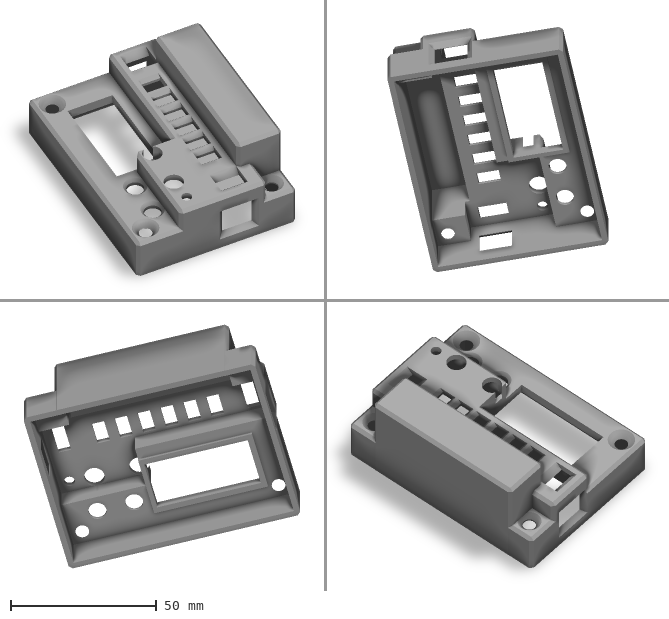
import cadquery as cq

LENGTH = 82.27
WIDTH = 61.35
BLOCK_TOP = 33.7
SHOULDER_TOP = 23.3
BASE_TOP = 15.15
WALL = 2.0
ROOF = 2.4
EDGE_CHAMFER = 1.2

X_MAX = LENGTH / 2
X_MIN = -X_MAX
Y_MIN = -WIDTH / 2
BLOCK_BACK = WIDTH / 2
OVERCUT = 1.0

BLOCK_X_MIN = -31.7
BLOCK_X_MAX = 30.3
BLOCK_FRONT = 13.45
BLOCK_OVERHANG = 0.05
Y_MAX = BLOCK_BACK - BLOCK_OVERHANG

SHOULDER_BACK = 19.2
SHOULDER_FRONT = 0.2
STEP_X = 7.4
STEP_FRONT = -14.2
STEP_WALL = 1.6

DISPLAY_LENGTH = 36.8
DISPLAY_BACK = -3.95
DISPLAY_FRONT = -21.3
COLLAR_HEIGHT = 3.6
DISPLAY_RELIEF = 0.03

PORT_BACK = 16.1
PORT_FRONT = 1.0
PORT_BOTTOM = 3.95
PORT_TOP = 17.0
PORT_FLARE = 1.8

SLOT_FRONT = 3.25
TERMINAL_SLOT_X = 33.55
TERMINAL_SLOT_WIDTH = 9.1
TERMINAL_SLOT_FLARE = 2.4
FUSE_SLOT_BACK = 11.1
FUSE_SLOT_WIDTH = 7.0
FUSE_SLOT_FLARE = 1.3
FUSE_SLOT_COUNT = 6
FUSE_SLOT_PITCH = 8.12
FUSE_SLOT_CENTRE = -0.5

SCREW_X = 34.85
SCREW_Y = 24.35
SCREW_DIAMETER = 4.7
SCREW_HEAD_BACK = 8.3
SCREW_HEAD_FRONT = 9.4
BUTTON_CENTRES = [(14.7, -17.95), (27.75, -17.95)]
BUTTON_DIAMETER = 6.2
BUTTON_RIM = 8.4
LAMP_CENTRES = [(10.45, -9.15), (26.45, -9.15)]
LAMP_DIAMETER = 7.0
LAMP_DEPTH = 6.0
PILOT_CENTRE = (35.2, -8.65)
PILOT_DIAMETER = 3.7


def box(x_min, x_max, y_min, y_max, z_min, z_max):
    """Box between two opposite corners."""
    size = (x_max - x_min, y_max - y_min, z_max - z_min)
    return cq.Workplane("XY").box(*size, centered=False).translate((x_min, y_min, z_min))


def chamfered_box(x_min, x_max, y_min, y_max, height, edges="|Z or >Z"):
    """Box standing on Z = 0 with the selected edges chamfered."""
    return box(x_min, x_max, y_min, y_max, 0, height).edges(edges).chamfer(EDGE_CHAMFER)


def hollow(x_min, x_max, y_min, y_max, height, near_wall=WALL):
    """Cavity inside a box of the given outer size; near_wall is the -X and -Y wall thickness."""
    x_start = x_min + near_wall
    y_start = y_min + near_wall
    return box(x_start, x_max - WALL, y_start, y_max - WALL, -OVERCUT, height - ROOF)


def cylinder(centre, diameter, z_min, z_max):
    """Upright cylinder."""
    plane = cq.Workplane("XY").workplane(offset=z_min).center(*centre)
    return plane.circle(diameter / 2).extrude(z_max - z_min)


def countersunk_hole(centre, diameter, rim_diameter):
    """Hole through the base roof with a 45 degree countersink at its top."""
    depth = (rim_diameter - diameter) / 2
    cone = cq.Solid.makeCone(diameter / 2, rim_diameter / 2, depth, pnt=(*centre, BASE_TOP - depth))
    return cylinder(centre, diameter, BASE_TOP - ROOF - OVERCUT, BASE_TOP).union(cq.Workplane(cone))


def outer_body():
    """Solid stepped envelope: base, two shoulder pieces and the back block."""
    base = chamfered_box(X_MIN, X_MAX, Y_MIN, Y_MAX, BASE_TOP)
    shoulder = chamfered_box(X_MIN, X_MAX, SHOULDER_FRONT, SHOULDER_BACK, SHOULDER_TOP)
    step_edges = "|Z or (>Z exc <X)"
    step = chamfered_box(STEP_X, X_MAX, STEP_FRONT, SHOULDER_BACK, SHOULDER_TOP, step_edges)
    block = chamfered_box(BLOCK_X_MIN, BLOCK_X_MAX, BLOCK_FRONT, BLOCK_BACK, BLOCK_TOP)
    return base.union(shoulder).union(step).union(block)


def inner_cavity():
    """Open-bottomed hollow that follows the stepped envelope."""
    base = hollow(X_MIN, X_MAX, Y_MIN, Y_MAX, BASE_TOP)
    shoulder = hollow(X_MIN, X_MAX, SHOULDER_FRONT, SHOULDER_BACK, SHOULDER_TOP)
    step = hollow(STEP_X, X_MAX, STEP_FRONT, SHOULDER_BACK, SHOULDER_TOP, STEP_WALL)
    block = hollow(BLOCK_X_MIN, BLOCK_X_MAX, BLOCK_FRONT, BLOCK_BACK, BLOCK_TOP)
    return base.union(shoulder).union(step).union(block)


def display_collar():
    """Frame that deepens the walls of the display window below the base roof."""
    return box(
        STEP_X - DISPLAY_LENGTH - WALL, STEP_X + STEP_WALL,
        DISPLAY_FRONT - WALL, DISPLAY_BACK + WALL,
        BASE_TOP - COLLAR_HEIGHT, BASE_TOP - ROOF / 2,
    )


def display_window():
    """Rectangular opening that grazes the face of the step wall over its full height."""
    x_max = STEP_X + DISPLAY_RELIEF
    return box(x_max - DISPLAY_LENGTH, x_max, DISPLAY_FRONT, DISPLAY_BACK, 0, SHOULDER_TOP)


def terminal_ports():
    """Openings in both end walls, narrowing at 45 degrees to a straight throat."""
    depth = PORT_BACK - PORT_FRONT
    height = PORT_TOP - PORT_BOTTOM
    centre = ((PORT_BACK + PORT_FRONT) / 2, (PORT_TOP + PORT_BOTTOM) / 2)
    outer = cq.Workplane("YZ", origin=(X_MIN, 0, 0)).center(*centre).rect(depth, height)
    throat_depth = depth - 2 * PORT_FLARE
    throat_height = height - 2 * PORT_FLARE
    flare = outer.workplane(offset=PORT_FLARE).rect(throat_depth, throat_height).loft(ruled=True)
    throat = cq.Workplane("YZ", origin=(X_MIN, 0, 0)).center(*centre)
    left = flare.union(throat.rect(throat_depth, throat_height).extrude(WALL + OVERCUT))
    return left.union(left.mirror("YZ"))


def flared_slot(centre_x, width, flare, y_max):
    """Slot through the shoulder roof whose two long sides flare out at 45 degrees."""
    half_top = width / 2
    half_throat = half_top - flare
    z_throat = SHOULDER_TOP - flare
    z_bottom = SHOULDER_TOP - ROOF - OVERCUT
    profile = [
        (centre_x - half_top, SHOULDER_TOP),
        (centre_x - half_throat, z_throat),
        (centre_x - half_throat, z_bottom),
        (centre_x + half_throat, z_bottom),
        (centre_x + half_throat, z_throat),
        (centre_x + half_top, SHOULDER_TOP),
    ]
    plane = cq.Workplane("XZ", origin=(0, y_max, 0))
    return plane.polyline(profile).close().extrude(y_max - SLOT_FRONT)


def cut_roof_slots(body):
    """Two wide terminal slots and a row of narrow slots between them."""
    for x in (-TERMINAL_SLOT_X, TERMINAL_SLOT_X):
        body = body.cut(flared_slot(x, TERMINAL_SLOT_WIDTH, TERMINAL_SLOT_FLARE, BLOCK_FRONT))
    for index in range(FUSE_SLOT_COUNT):
        x = FUSE_SLOT_CENTRE + (index - (FUSE_SLOT_COUNT - 1) / 2) * FUSE_SLOT_PITCH
        body = body.cut(flared_slot(x, FUSE_SLOT_WIDTH, FUSE_SLOT_FLARE, FUSE_SLOT_BACK))
    return body


def cut_base_holes(body):
    """Countersunk corner screw holes and button holes; taller parts above stay uncut."""
    for x in (-SCREW_X, SCREW_X):
        body = body.cut(countersunk_hole((x, SCREW_Y), SCREW_DIAMETER, SCREW_HEAD_BACK))
        body = body.cut(countersunk_hole((x, -SCREW_Y), SCREW_DIAMETER, SCREW_HEAD_FRONT))
    for centre in BUTTON_CENTRES:
        body = body.cut(countersunk_hole(centre, BUTTON_DIAMETER, BUTTON_RIM))
    return body


def cut_shoulder_holes(body):
    """Lamp holes and a small pilot hole; the first lamp hole breaks out of the step wall."""
    z_bottom = SHOULDER_TOP - LAMP_DEPTH
    for centre in LAMP_CENTRES:
        body = body.cut(cylinder(centre, LAMP_DIAMETER, z_bottom, SHOULDER_TOP))
    return body.cut(cylinder(PILOT_CENTRE, PILOT_DIAMETER, z_bottom, SHOULDER_TOP))


shell = outer_body().cut(inner_cavity()).union(display_collar())
shell = shell.cut(display_window()).cut(terminal_ports())
shell = cut_roof_slots(shell)
shell = cut_base_holes(shell)
result = cut_shoulder_holes(shell)